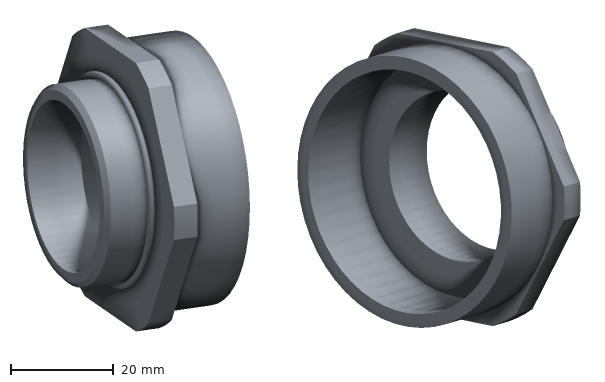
import cadquery as cq
import math

corner_diameter = 59.95
across_flats = 55.0
flange_thickness = 5.0
body_diameter = 53.95
body_length = 12.55
spigot_diameter = 40.0
spigot_length = 10.0
spigot_chamfer = 1.0
bore_diameter = 34.0
socket_diameter = 48.5
socket_depth = 16.0
ring_section_diameter = 1.45

spigot_radius = spigot_diameter / 2
ring_section_radius = ring_section_diameter / 2
overall_length = spigot_length + flange_thickness + body_length


def cylinder(diameter, start, length):
    """Cylinder about the Y axis, from y = start towards +Y."""
    return cq.Workplane("XZ", origin=(0, start, 0)).circle(diameter / 2).extrude(-length)


def hex_flange():
    """Hexagon with flats at the top and bottom and its corners turned round."""
    sharp_corner_diameter = across_flats / math.cos(math.radians(30))
    hexagon = (
        cq.Workplane("XZ")
        .polygon(6, sharp_corner_diameter)
        .extrude(-flange_thickness)
    )
    return hexagon.intersect(cylinder(corner_diameter, 0, flange_thickness))


def spigot():
    """Plain spigot with a chamfered free end."""
    blank = cylinder(spigot_diameter, -spigot_length, spigot_length)
    return blank.faces("<Y").edges().chamfer(spigot_chamfer)


def sealing_ring():
    """Round ring resting on the spigot and flange, with the corner behind it filled."""
    centre_radius = spigot_radius + ring_section_radius
    arc_middle_offset = ring_section_radius * math.sqrt(0.5)
    return (
        cq.Workplane("XY")
        .moveTo(spigot_radius, 0)
        .lineTo(centre_radius, 0)
        .threePointArc(
            (centre_radius + arc_middle_offset, -ring_section_radius - arc_middle_offset),
            (spigot_radius, -ring_section_radius),
        )
        .close()
        .revolve(360, (0, 0, 0), (0, 1, 0))
    )


body = cylinder(body_diameter, flange_thickness, body_length)
bore = cylinder(bore_diameter, -spigot_length, overall_length)
socket = cylinder(socket_diameter, flange_thickness + body_length - socket_depth, socket_depth)

result = hex_flange().union(body).union(spigot()).union(sealing_ring()).cut(bore).cut(socket)